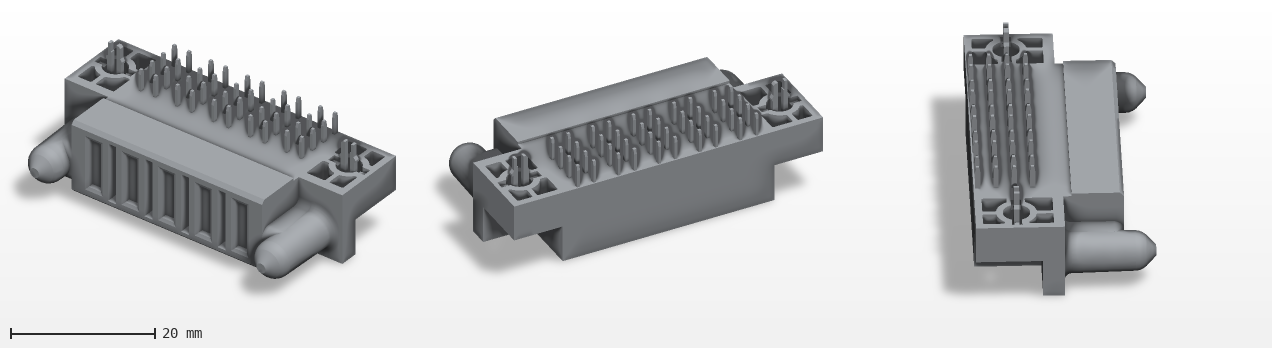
import cadquery as cq
import math


TOTAL_WIDTH = 48.25
EAR_HEIGHT = 11.45
EAR_DEPTH = 12.35
BODY_WIDTH = 33.1
BODY_DEPTH = 20.8
NOSE_HEIGHT = 11.85
NOSE_START = 13.5
NOSE_CHAMFER = 0.6
NOTCH_HEIGHT = 5.8
NOTCH_DEPTH = 9.3

SLOT_COUNT = 5
SLOT_SPAN = 25.4
SLOT_PITCH = SLOT_SPAN / (SLOT_COUNT - 1)
SLOT_CENTER_Z = NOSE_HEIGHT / 2
SLOT_WIDTH = 2.08
SLOT_HEIGHT = 7.95
SLOT_DEPTH = 1.1
LEAD_IN = 0.5
LEAD_IN_DEPTH = 0.265
GROOVE_WIDTH = 1.4
GROOVE_HEIGHT = 9.55
GROOVE_DEPTH = 5.8

PIN_ROWS = 4
PIN_ROW_SPAN = 7.63
PIN_ROW_PITCH = PIN_ROW_SPAN / (PIN_ROWS - 1)
FIRST_ROW_Y = -0.6
PIN_SPACING = PIN_ROW_PITCH
PIN_WIDTH = 0.45
PIN_THICKNESS = 0.7
PIN_TIP_THICKNESS = 0.41
PIN_TOP = 14.9
PIN_TAPER = 0.7
PIN_ROOT = 0.5

POST_X = 19.7
POST_Z = 4.3
POST_BASE_RADIUS = 3.0
POST_END_RADIUS = 5.65 / 2
CONE_RADIUS = 2.2
TIP_RADIUS = 0.75
POST_STRAIGHT_END = 22.25
CONE_START = 23.75
POST_TIP = 25.15
FLARE = 1.0
POST_ROOT = 0.5

WEB_HALF_HEIGHT = 2.85
WEB_OUTER_X = 19.2
WEB_FRONT_RADIUS = 1.5

HOLE_X = 20.3
HOLE_Y = -5.75
HOLE_DIAMETER = 3.8
RING_RADIUS = 2.85
POCKET_OUTER_X = 23.05
POCKET_INNER_X = 16.75
POCKET_REAR_Y = -1.0
POCKET_FRONT_Y = -10.85
RIB_WIDTH = 0.7
OUTER_RIB_HALF = 1.7
INNER_RIB_HALF = 1.25
POCKET_CORNER = 0.25
POCKET_FLOOR = 6.75
CLIP_SLOT_LENGTH = 6.25
CLIP_SLOT_WIDTH = 1.4
CLIP_SLOT_DEPTH = 0.75
CLIP_SLOT_FLOOR = EAR_HEIGHT - CLIP_SLOT_DEPTH

CLIP_THICKNESS = 0.7
CLIP_HALF_LENGTH = 2.9
CLIP_STRIP = 0.2
CLIP_BOTTOM = 6.75
CLIP_TOP = 15.3
BARB_BOTTOM = 12.5
BARB_CREST = 12.85
BARB_TOP = 13.3
BARB_REACH = 1.4
STEPPED_INNER = 0.45
STEPPED_STEP = 0.15
STEPPED_STEP_Z = 13.85
STEPPED_OUTER = 1.15
STEPPED_NECK = 1.0
CHAMFERED_INNER = 0.45
CHAMFERED_OUTER = 1.25
CHAMFERED_NECK = 1.1
PRONG_CHAMFER = 0.3

SIDES = (-1, 1)


def box(x_min, x_max, y_min, y_max, z_min, z_max):
    size = (x_max - x_min, y_max - y_min, z_max - z_min)
    return cq.Workplane("XY").box(*size, centered=False).translate((x_min, y_min, z_min))


def span(start, count, pitch):
    return [start + pitch * i for i in range(count)]


SLOT_XS = span(-SLOT_SPAN / 2, SLOT_COUNT, SLOT_PITCH)
GROOVE_XS = [x + SLOT_PITCH / 2 for x in SLOT_XS[:-1]]


def housing():
    half_width = TOTAL_WIDTH / 2
    half_body = BODY_WIDTH / 2
    ears = box(-half_width, half_width, -EAR_DEPTH, 0, 0, EAR_HEIGHT)
    body = (
        cq.Workplane("YZ")
        .moveTo(0, 0)
        .lineTo(0, EAR_HEIGHT)
        .lineTo(-NOSE_START, EAR_HEIGHT)
        .lineTo(-NOSE_START, NOSE_HEIGHT)
        .lineTo(NOSE_CHAMFER - BODY_DEPTH, NOSE_HEIGHT)
        .lineTo(-BODY_DEPTH, NOSE_HEIGHT - NOSE_CHAMFER)
        .lineTo(-BODY_DEPTH, NOSE_CHAMFER)
        .lineTo(NOSE_CHAMFER - BODY_DEPTH, 0)
        .close()
        .extrude(half_body, both=True)
    )
    shell = ears.union(body)
    for side in SIDES:
        x_min, x_max = sorted((side * half_body, side * half_width))
        shell = shell.cut(box(x_min, x_max, -NOTCH_DEPTH, 0, 0, NOTCH_HEIGHT))
    return shell


def face_openings():
    face = cq.Workplane("XZ", origin=(0, -BODY_DEPTH, SLOT_CENTER_Z))
    slots = [(x, 0) for x in SLOT_XS]
    grooves = [(x, 0) for x in GROOVE_XS]
    cutter = face.pushPoints(slots).rect(SLOT_WIDTH, SLOT_HEIGHT).extrude(-SLOT_DEPTH)
    cutter = cutter.union(face.pushPoints(grooves).rect(GROOVE_WIDTH, GROOVE_HEIGHT).extrude(-GROOVE_DEPTH))
    mouth_size = (SLOT_WIDTH + 2 * LEAD_IN, SLOT_HEIGHT + 2 * LEAD_IN)
    for x in SLOT_XS:
        mouth = (
            face.center(x, 0)
            .rect(*mouth_size)
            .workplane(offset=-LEAD_IN_DEPTH)
            .rect(SLOT_WIDTH, SLOT_HEIGHT)
            .loft()
        )
        cutter = cutter.union(mouth)
    return cutter


def pin():
    half = PIN_THICKNESS / 2
    half_tip = PIN_TIP_THICKNESS / 2
    return (
        cq.Workplane("YZ")
        .moveTo(-half, EAR_HEIGHT - PIN_ROOT)
        .lineTo(half, EAR_HEIGHT - PIN_ROOT)
        .lineTo(half, PIN_TOP - PIN_TAPER)
        .lineTo(half_tip, PIN_TOP)
        .lineTo(-half_tip, PIN_TOP)
        .lineTo(-half, PIN_TOP - PIN_TAPER)
        .close()
        .extrude(PIN_WIDTH / 2, both=True)
    )


def pins():
    single = pin().val()
    solids = []
    for x in SLOT_XS:
        for side in SIDES:
            for y in span(FIRST_ROW_Y, PIN_ROWS, -PIN_ROW_PITCH):
                solids.append(single.translate(cq.Vector(x + side * PIN_SPACING / 2, y, 0)))
    return solids


def arc_middle(center, radius, degrees):
    angle = math.radians(degrees)
    return (center[0] + radius * math.cos(angle), center[1] + radius * math.sin(angle))


def post():
    """Tapered guide post with a flared base, a rounded shoulder and a conical tip."""
    flare_end = -EAR_DEPTH - FLARE
    flare_middle = arc_middle((POST_BASE_RADIUS + FLARE, flare_end), FLARE, 135)
    return (
        cq.Workplane("XY")
        .moveTo(0, POST_ROOT - EAR_DEPTH)
        .lineTo(POST_BASE_RADIUS + FLARE, POST_ROOT - EAR_DEPTH)
        .lineTo(POST_BASE_RADIUS + FLARE, -EAR_DEPTH)
        .threePointArc(flare_middle, (POST_BASE_RADIUS, flare_end))
        .lineTo(POST_END_RADIUS, -POST_STRAIGHT_END)
        .tangentArcPoint((CONE_RADIUS, -CONE_START), relative=False)
        .lineTo(TIP_RADIUS, -POST_TIP)
        .lineTo(0, -POST_TIP)
        .close()
        .revolve(360, (0, 0, 0), (0, 1, 0))
        .translate((-POST_X, 0, POST_Z))
    )


def web():
    """Web from the post to the nose, flared at the ear and rounded at the front."""
    flare_end = -EAR_DEPTH - FLARE
    flare_height = WEB_HALF_HEIGHT + FLARE
    flare_middle = arc_middle((flare_end, flare_height), FLARE, -45)
    round_start = WEB_FRONT_RADIUS - BODY_DEPTH
    round_height = WEB_HALF_HEIGHT - WEB_FRONT_RADIUS
    round_middle = arc_middle((round_start, round_height), WEB_FRONT_RADIUS, 135)
    upper_half = (
        cq.Workplane("YZ")
        .moveTo(-EAR_DEPTH, 0)
        .lineTo(-EAR_DEPTH, flare_height)
        .threePointArc(flare_middle, (flare_end, WEB_HALF_HEIGHT))
        .lineTo(round_start, WEB_HALF_HEIGHT)
        .threePointArc(round_middle, (-BODY_DEPTH, round_height))
        .lineTo(-BODY_DEPTH, 0)
        .close()
        .extrude(WEB_OUTER_X - BODY_WIDTH / 2)
    )
    whole = upper_half.union(upper_half.mirror("XY"))
    return whole.translate((-WEB_OUTER_X, 0, POST_Z))


def pocket(x_min, x_max, y_min, y_max):
    block = box(x_min, x_max, y_min, y_max, POCKET_FLOOR, EAR_HEIGHT)
    ring = cq.Workplane("XY").center(-HOLE_X, HOLE_Y).circle(RING_RADIUS).extrude(EAR_HEIGHT)
    return block.cut(ring).edges("|Z").fillet(POCKET_CORNER)


def ear_openings():
    """Screw hole, clip slot and the four pockets around them, for the -X ear."""
    outer = (-POCKET_OUTER_X, -HOLE_X - RIB_WIDTH / 2)
    inner = (-HOLE_X + RIB_WIDTH / 2, -POCKET_INNER_X)
    cutter = cq.Workplane("XY").center(-HOLE_X, HOLE_Y).circle(HOLE_DIAMETER / 2).extrude(EAR_HEIGHT)
    half_length = CLIP_SLOT_LENGTH / 2
    half_width = CLIP_SLOT_WIDTH / 2
    cutter = cutter.union(box(
        -HOLE_X - half_length, -HOLE_X + half_length,
        HOLE_Y - half_width, HOLE_Y + half_width, CLIP_SLOT_FLOOR, EAR_HEIGHT,
    ))
    openings = [
        pocket(*outer, HOLE_Y + OUTER_RIB_HALF, POCKET_REAR_Y),
        pocket(*outer, POCKET_FRONT_Y, HOLE_Y - OUTER_RIB_HALF),
        pocket(*inner, HOLE_Y + INNER_RIB_HALF, POCKET_REAR_Y),
        pocket(*inner, POCKET_FRONT_Y, HOLE_Y - INNER_RIB_HALF),
    ]
    for opening in openings:
        cutter = cutter.union(opening)
    return cutter


def clip_plate(points):
    """Flat plate of the clip; the points are offsets along X from the hole axis, with heights Z."""
    return cq.Workplane("XZ").polyline(points).close().extrude(CLIP_THICKNESS / 2, both=True)


def clip():
    """Board-lock clip for the -X ear: a strip hung in the slot, carrying two barbed prongs."""
    leg_inner = HOLE_DIAMETER / 2 - CLIP_STRIP
    tab_top = CLIP_SLOT_FLOOR + CLIP_STRIP
    strip = clip_plate([
        (-CLIP_HALF_LENGTH, CLIP_SLOT_FLOOR),
        (-CLIP_HALF_LENGTH, tab_top),
        (-leg_inner, tab_top),
        (-leg_inner, CLIP_BOTTOM + CLIP_STRIP),
        (leg_inner, CLIP_BOTTOM + CLIP_STRIP),
        (leg_inner, tab_top),
        (CLIP_HALF_LENGTH, tab_top),
        (CLIP_HALF_LENGTH, CLIP_SLOT_FLOOR),
        (leg_inner + CLIP_STRIP, CLIP_SLOT_FLOOR),
        (leg_inner + CLIP_STRIP, CLIP_BOTTOM),
        (-leg_inner - CLIP_STRIP, CLIP_BOTTOM),
        (-leg_inner - CLIP_STRIP, CLIP_SLOT_FLOOR),
    ])
    step_inner = STEPPED_INNER + STEPPED_STEP
    stepped_prong = clip_plate([
        (-STEPPED_INNER, CLIP_BOTTOM),
        (-STEPPED_OUTER, CLIP_BOTTOM),
        (-STEPPED_OUTER, BARB_BOTTOM),
        (-BARB_REACH, BARB_BOTTOM),
        (-BARB_REACH, BARB_CREST),
        (-STEPPED_NECK, BARB_TOP),
        (-STEPPED_NECK, CLIP_TOP),
        (-step_inner, CLIP_TOP),
        (-step_inner, STEPPED_STEP_Z),
        (-STEPPED_INNER, STEPPED_STEP_Z),
    ])
    chamfered_prong = clip_plate([
        (CHAMFERED_INNER, CLIP_BOTTOM),
        (CHAMFERED_OUTER, CLIP_BOTTOM),
        (CHAMFERED_OUTER, BARB_BOTTOM),
        (BARB_REACH, BARB_BOTTOM),
        (BARB_REACH, BARB_CREST),
        (CHAMFERED_NECK, BARB_TOP),
        (CHAMFERED_NECK, CLIP_TOP - PRONG_CHAMFER),
        (CHAMFERED_NECK - PRONG_CHAMFER, CLIP_TOP),
        (CHAMFERED_INNER, CLIP_TOP),
    ])
    whole = strip.union(stepped_prong).union(chamfered_prong)
    return whole.translate((-HOLE_X, HOLE_Y, 0))


def both_sides(feature):
    return feature.union(feature.mirror("YZ"))


result = housing()
result = result.union(both_sides(post().union(web())))
result = result.cut(both_sides(ear_openings()))
result = result.cut(face_openings())
result = result.union(both_sides(clip()))
for contact in pins():
    result = result.union(cq.Workplane(contact))